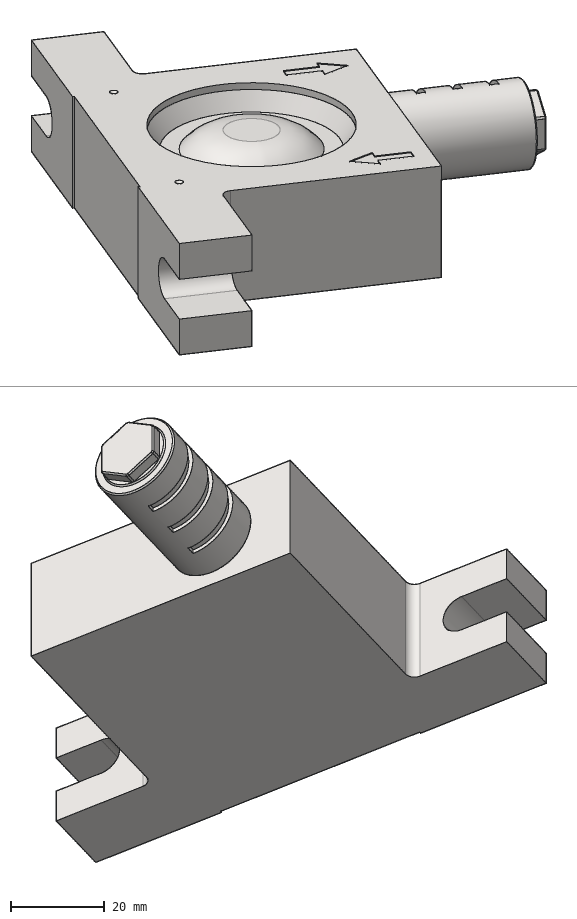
import cadquery as cq
import math


length = 113.0
thickness = 26.0
block_width = 65.0
block_top = 65.3
foot_height = 16.2
corner_radius = 2.3
relief_width = 50.0
relief_depth = 0.4

slot_width = 9.3
slot_length = 15.9

bore_y = 32.5
bore_radius = 22.4
bore_wall_depth = 1.6
cover_radius = 19.7
cover_depth = 5.6

cover_thickness = 2.3
dome_radius = 15.5
dome_flat_radius = 6.1
dome_height = 4.4

dimple_spacing = relief_width
dimple_y = 9.2
dimple_radius = 0.9
dimple_depth = 0.7

arrow_spacing = 49.2
arrow_y = 54.1
arrow_length = 14.0
arrow_head_length = 6.0
arrow_head_width = 6.2
arrow_stem_width = 2.4
arrow_depth = 0.2

silencer_x = -12.9
silencer_radius = 10.0
silencer_end = 97.1
silencer_chamfer = 0.3
collar_base_radius = 7.9
collar_top_radius = 7.6
collar_height = 0.3
groove_width = 2.0
groove_depth = 1.0
groove_pitch = 8.1
groove_count = 3
first_groove_y = 74.0
hex_across_flats = 13.2
hex_edge_chamfer = 0.3
overall_top = 100.0

top_z = thickness / 2


def make_block():
    """T-shaped outline of the block and its feet, relieved along the mounting face."""
    half_length = length / 2
    half_block = block_width / 2
    half_relief = relief_width / 2
    outline = [
        (-half_length, 0),
        (-half_relief, 0),
        (-half_relief, relief_depth),
        (half_relief, relief_depth),
        (half_relief, 0),
        (half_length, 0),
        (half_length, foot_height),
        (half_block, foot_height),
        (half_block, block_top),
        (-half_block, block_top),
        (-half_block, foot_height),
        (-half_length, foot_height),
    ]
    block = cq.Workplane("XY", origin=(0, 0, -top_z)).polyline(outline).close().extrude(thickness)
    inner_corners = cq.selectors.BoxSelector(
        (-half_block - corner_radius, foot_height - corner_radius, -thickness),
        (half_block + corner_radius, foot_height + corner_radius, thickness),
    )
    return block.edges("|Z").edges(inner_corners).fillet(corner_radius)


def make_bolt_slot(side):
    """Round-ended slot through a foot along Y, open at the end of the foot."""
    return (
        cq.Workplane("XZ")
        .center(side * length / 2, 0)
        .slot2D(2 * slot_length, slot_width)
        .extrude(-foot_height)
    )


def make_bore():
    """Opening above the end cover, together with the seat that holds the cover."""
    cone_top = top_z - bore_wall_depth
    seat_top = top_z - cover_depth
    seat_bottom = seat_top - cover_thickness
    profile = [
        (0, top_z),
        (bore_radius, top_z),
        (bore_radius, cone_top),
        (cover_radius, seat_top),
        (cover_radius, seat_bottom),
        (0, seat_bottom),
    ]
    bore = cq.Workplane("XZ").polyline(profile).close().revolve(360, (0, 0, 0), (0, 1, 0))
    return bore.translate((0, bore_y, 0))


def make_dimple(side):
    """Small cone pointing down from the top face."""
    cone = cq.Solid.makeCone(
        dimple_radius, 0, dimple_depth,
        cq.Vector(side * dimple_spacing / 2, dimple_y, top_z), cq.Vector(0, 0, -1),
    )
    return cq.Workplane(obj=cone)


def make_arrow(side):
    """Arrow recess in the top face: it points to +Y on the -X side and to -Y on the +X side."""
    tip = -side * arrow_length / 2
    neck = tip + side * arrow_head_length
    half_head = arrow_head_width / 2
    half_stem = arrow_stem_width / 2
    outline = [
        (0, tip),
        (half_head, neck),
        (half_stem, neck),
        (half_stem, -tip),
        (-half_stem, -tip),
        (-half_stem, neck),
        (-half_head, neck),
    ]
    center = (side * arrow_spacing / 2, arrow_y, top_z)
    return cq.Workplane("XY", origin=center).polyline(outline).close().extrude(-arrow_depth)


def make_housing():
    """Block with the cover opening, bolt slots, dimples and flow arrows cut into it."""
    housing = make_block().cut(make_bore())
    for side in (-1, 1):
        housing = housing.cut(make_bolt_slot(side))
        housing = housing.cut(make_dimple(side))
        housing = housing.cut(make_arrow(side))
    return housing


def make_cover():
    """Disc with a flat-topped dome whose arc runs smoothly into the flat."""
    rise = dome_radius - dome_flat_radius
    arc_radius = (rise**2 + dome_height**2) / (2 * dome_height)
    half_angle = math.asin(rise / arc_radius) / 2
    arc_middle = (
        dome_flat_radius + arc_radius * math.sin(half_angle),
        dome_height - arc_radius * (1 - math.cos(half_angle)),
    )
    cover = (
        cq.Workplane("XZ")
        .moveTo(0, -cover_thickness)
        .lineTo(cover_radius, -cover_thickness)
        .lineTo(cover_radius, 0)
        .lineTo(dome_radius, 0)
        .threePointArc(arc_middle, (dome_flat_radius, dome_height))
        .lineTo(0, dome_height)
        .close()
        .revolve(360, (0, 0, 0), (0, 1, 0))
    )
    return cover.translate((0, bore_y, top_z - cover_depth))


def make_groove(center_y):
    """Half ring around the -X side of the silencer."""
    section = (
        cq.Workplane("XY", origin=(silencer_x, center_y, 0))
        .center(-silencer_radius, 0)
        .rect(2 * groove_depth, groove_width)
    )
    axis_x = silencer_radius
    groove = section.revolve(180, (axis_x, -1.1, 0), (axis_x, 1.1, 0))
    return groove.rotate((silencer_x, 0, 0), (silencer_x, 1, 0), -90)


def make_collar():
    """Low cone between the end of the cylinder and the hexagon."""
    cone = cq.Solid.makeCone(
        collar_base_radius, collar_top_radius, collar_height,
        cq.Vector(silencer_x, silencer_end, 0), cq.Vector(0, 1, 0),
    )
    return cq.Workplane(obj=cone)


def make_hexagon():
    """Hexagon with two flats facing along X, its corners and end rim broken."""
    hex_across_corners = hex_across_flats / math.cos(math.radians(30))
    return (
        cq.Workplane("XZ", origin=(silencer_x, silencer_end, 0))
        .transformed(rotate=(0, 0, 90))
        .polygon(6, hex_across_corners)
        .extrude(silencer_end - overall_top)
        .edges("|Y")
        .chamfer(hex_edge_chamfer)
        .faces(">Y")
        .chamfer(hex_edge_chamfer)
    )


def make_silencer():
    """Cylinder chamfered at both ends, with half-ring grooves, a collar and a hexagon on its end."""
    silencer = (
        cq.Workplane("XZ", origin=(silencer_x, block_top, 0))
        .circle(silencer_radius)
        .extrude(block_top - silencer_end)
        .edges()
        .chamfer(silencer_chamfer)
    )
    silencer = silencer.union(make_collar()).union(make_hexagon())
    for index in range(groove_count):
        silencer = silencer.cut(make_groove(first_groove_y + index * groove_pitch))
    return silencer


housing = make_housing().solids()
cover = make_cover()
silencer = make_silencer().solids()

result = cq.Compound.makeCompound([housing.val(), cover.val(), silencer.val()])